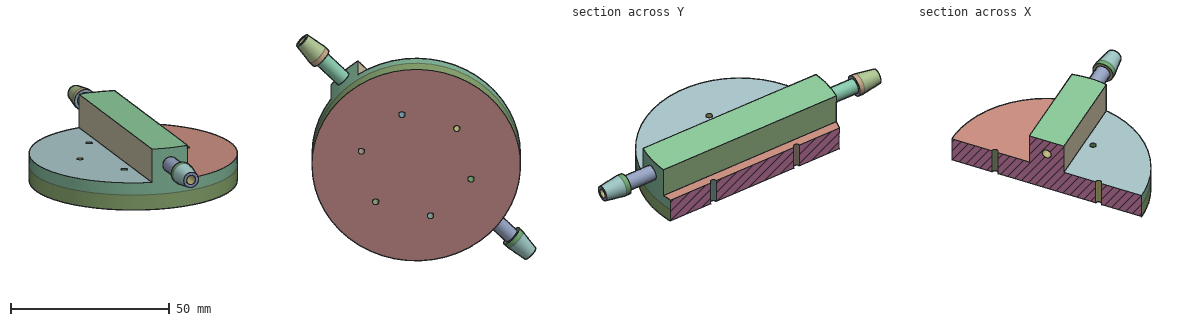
import cadquery as cq

body_diameter = 66.0
base_thickness = 5.0
cover_thickness = 4.0
plate_top = base_thickness + cover_thickness

rib_width = 12.0
rib_height = 11.0
rib_center_z = plate_top + rib_height / 2

overall_length = 102.9
stem_diameter = 5.0
tip_diameter = 5.0
barb_diameter = 7.0
barb_collar_length = 1.7
barb_taper_length = 6.8
bore_diameter = 3.0

hole_diameter = 2.0
hole_circle_diameter = 36.0
hole_count = 6
first_hole_angle = 90.0


def make_disc(bottom_z, thickness):
    """Round plate of the body diameter, standing on bottom_z."""
    return cq.Workplane("XY", origin=(0, 0, bottom_z)).circle(body_diameter / 2).extrude(thickness)


def make_cover():
    """Disc cut down on both sides, leaving a rib that follows the round outline at its ends."""
    cover = make_disc(base_thickness, cover_thickness + rib_height)
    side_width = (body_diameter - rib_width) / 2
    side_center_y = (rib_width + side_width) / 2
    for side in (-1, 1):
        relief = (
            cq.Workplane("XY", origin=(0, side * side_center_y, plate_top))
            .rect(body_diameter, side_width)
            .extrude(rib_height)
        )
        cover = cover.cut(relief)
    return cover


def make_fittings():
    """Rod along X with a tapered barb at each end, turned about the rib's axis."""
    tip_x = overall_length / 2
    taper_end_x = tip_x - barb_taper_length
    shoulder_x = taper_end_x - barb_collar_length
    profile = (
        cq.Workplane("XZ", origin=(0, 0, rib_center_z))
        .moveTo(0, 0)
        .lineTo(tip_x, 0)
        .lineTo(tip_x, tip_diameter / 2)
        .lineTo(taper_end_x, barb_diameter / 2)
        .lineTo(shoulder_x, barb_diameter / 2)
        .lineTo(shoulder_x, stem_diameter / 2)
        .lineTo(0, stem_diameter / 2)
        .close()
    )
    fitting = profile.revolve(360, (0, 0, 0), (1, 0, 0))
    return fitting.union(fitting.mirror("YZ"))


def make_bore():
    """Passage running through both fittings and the rib."""
    return (
        cq.Workplane("YZ", origin=(-overall_length / 2, 0, rib_center_z))
        .circle(bore_diameter / 2)
        .extrude(overall_length)
    )


def make_holes():
    """Ring of holes through both plates."""
    return (
        cq.Workplane("XY")
        .polarArray(hole_circle_diameter / 2, first_hole_angle, 360, hole_count)
        .circle(hole_diameter / 2)
        .extrude(plate_top)
    )


base = make_disc(0, base_thickness)
cover = make_cover().union(make_fittings())
body = base.union(cover, clean=False)
result = body.cut(make_bore(), clean=False).cut(make_holes(), clean=False)